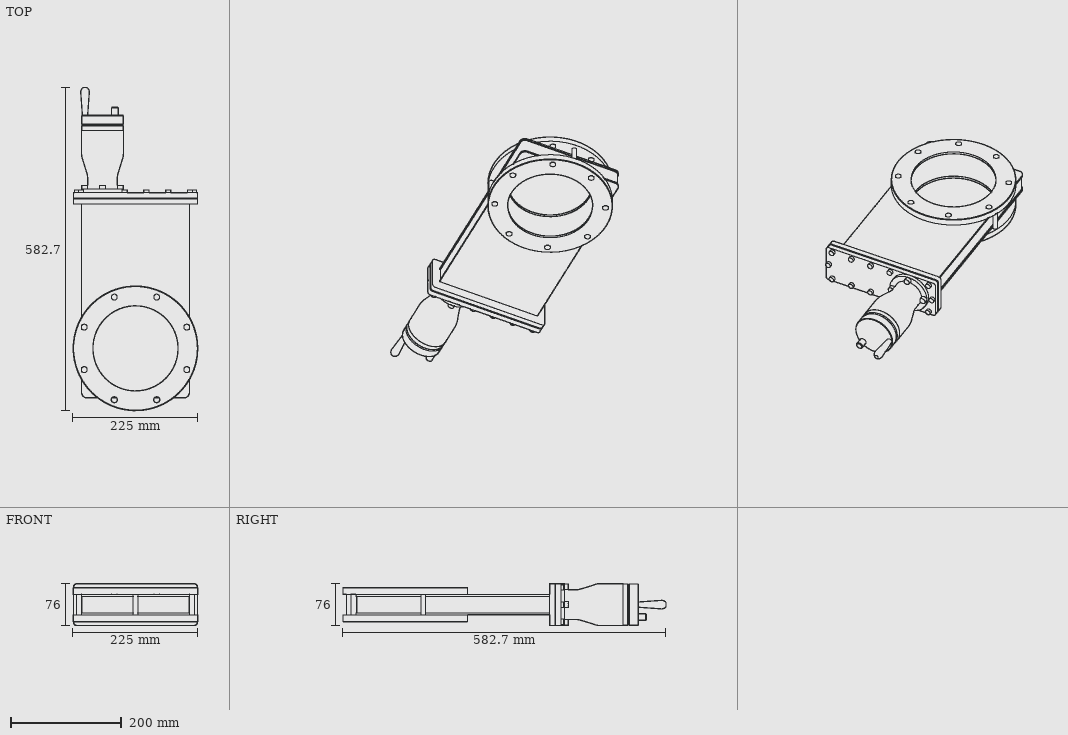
import cadquery as cq
import math

port_diameter = 225.0
port_half_height = 31.0
port_chamfer = 1.0
bore_diameter = 154.0
bore_lip_diameter = 153.0
bore_lip_length = 4.6
bolt_circle_diameter = 200.0
bolt_count = 8
bolt_hole_diameter = 10.6

body_width = 195.0
body_half_height = 18.3
body_front_y = -89.3
body_corner_radius = 10.0
sheet_thickness = 3.5
frame_recess = 1.5

rod_diameter = 8.5
rod_places = [(0.0, -102.0), (-102.0, 32.5), (102.0, 32.5)]

bonnet_width = 223.6
bonnet_height = 75.95
bonnet_corner_radius = 6.0
bonnet_start_y = 260.0
bonnet_plate_thickness = 9.5
gasket_thickness = 1.5
gasket_inset = 1.0
bonnet_end_y = bonnet_start_y + 2 * bonnet_plate_thickness + gasket_thickness

bonnet_screw_diameter = 9.6
bonnet_screw_height = 5.0
screw_row_pitch = 39.3
screw_row_count = 6
screw_row_z = 31.0
side_screw_x = 105.3

actuator_x = -59.5
actuator_diameter = 75.8
cap_diameter = 75.2
cap_start_y = 392.4
neck_diameter = 54.0
foot_thickness = 6.5
cone_start_y = 311.5
cone_end_y = 346.5
cone_blend_radius = 23.0
actuator_end_y = 420.2
cap_chamfer = 1.0
groove_y = 402.5
groove_width = 3.6
groove_depth = 1.8

foot_screw_count = 4
foot_screw_circle_radius = 32.0
foot_screw_diameter = 11.0
foot_screw_height = 7.0

crank_radius = 31.5
handle_tip_y = 470.2
handle_shoulder_y = 462.2
handle_base_radius = 5.0
handle_shoulder_radius = 8.0
handle_dome_radius = 6.6
handle_dome_y = 467.0
handle_tip_radius = 3.5
knob_angle = -45.0
knob_diameter = 12.5
knob_height = 14.6
knob_chamfer = 1.5


def cylinder_y(diameter, start_y, end_y, x, z):
    """Solid cylinder along +Y."""
    return cq.Workplane(
        cq.Solid.makeCylinder(
            diameter / 2, end_y - start_y, cq.Vector(x, start_y, z), cq.Vector(0, 1, 0)
        )
    )


def plate_y(width, height, corner_radius, start_y, thickness):
    """Rounded plate standing across the Y axis."""
    return (
        cq.Workplane("XY")
        .box(width, thickness, height, centered=(True, False, True))
        .edges("|Y")
        .fillet(corner_radius)
        .translate((0, start_y, 0))
    )


def flat_slab(inset, bottom_z, thickness):
    """Horizontal body layer with rounded front corners, inset from the body outline."""
    front_y = body_front_y + inset
    return (
        cq.Workplane("XY")
        .box(
            body_width - 2 * inset,
            bonnet_start_y - front_y,
            thickness,
            centered=(True, False, False),
        )
        .translate((0, front_y, bottom_z))
        .edges("|Z and <Y")
        .fillet(body_corner_radius - inset)
    )


def body():
    """Frame sandwiched between the two cover sheets."""
    frame_half_height = body_half_height - sheet_thickness
    frame = flat_slab(frame_recess, -frame_half_height, 2 * frame_half_height)
    upper_sheet = flat_slab(0, frame_half_height, sheet_thickness)
    lower_sheet = flat_slab(0, -body_half_height, sheet_thickness)
    return frame.union(upper_sheet).union(lower_sheet)


def port_flange():
    """Upper port flange with its bolt holes."""
    thickness = port_half_height - body_half_height
    half_pitch_angle = 180 / bolt_count
    base = cq.Workplane("XY", origin=(0, 0, body_half_height))
    ring = base.circle(port_diameter / 2).extrude(thickness)
    ring = ring.faces(">Z").edges().chamfer(port_chamfer)
    holes = (
        base.polarArray(bolt_circle_diameter / 2, half_pitch_angle, 360, bolt_count)
        .circle(bolt_hole_diameter / 2)
        .extrude(thickness)
    )
    return ring.cut(holes)


def spacer_rods():
    return (
        cq.Workplane("XY", origin=(0, 0, -body_half_height))
        .pushPoints(rod_places)
        .circle(rod_diameter / 2)
        .extrude(2 * body_half_height)
    )


def bonnet():
    gasket_y = bonnet_start_y + bonnet_plate_thickness
    upper_y = gasket_y + gasket_thickness
    lower = plate_y(
        bonnet_width, bonnet_height, bonnet_corner_radius, bonnet_start_y, bonnet_plate_thickness
    )
    gasket = plate_y(
        bonnet_width - 2 * gasket_inset,
        bonnet_height - 2 * gasket_inset,
        bonnet_corner_radius - gasket_inset,
        gasket_y,
        gasket_thickness,
    )
    upper = plate_y(
        bonnet_width, bonnet_height, bonnet_corner_radius, upper_y, bonnet_plate_thickness
    )
    return lower.union(gasket).union(upper)


def bonnet_screws():
    first_x = -screw_row_pitch * (screw_row_count - 1) / 2
    places = [(side * side_screw_x, 0) for side in (-1, 1)]
    for index in range(screw_row_count):
        x = first_x + index * screw_row_pitch
        places += [(x, -screw_row_z), (x, screw_row_z)]
    heads = cq.Workplane("XY")
    for x, z in places:
        head = cylinder_y(
            bonnet_screw_diameter, bonnet_end_y, bonnet_end_y + bonnet_screw_height, x, z
        )
        heads = heads.union(head)
    return heads


def actuator_body():
    """Foot, neck, cone, drum and V-grooved end cap as one turned shape."""
    foot_end_y = bonnet_end_y + foot_thickness
    drum_radius = actuator_diameter / 2
    cap_radius = cap_diameter / 2
    neck_radius = neck_diameter / 2
    cone_edge_margin = 1.0
    turned = (
        cq.Workplane("XY")
        .moveTo(0, bonnet_end_y)
        .lineTo(drum_radius, bonnet_end_y)
        .lineTo(drum_radius, foot_end_y)
        .lineTo(neck_radius, foot_end_y)
        .lineTo(neck_radius, cone_start_y)
        .lineTo(drum_radius, cone_end_y)
        .lineTo(drum_radius, cap_start_y)
        .lineTo(cap_radius, cap_start_y)
        .lineTo(cap_radius, groove_y - groove_width / 2)
        .lineTo(cap_radius - groove_depth, groove_y)
        .lineTo(cap_radius, groove_y + groove_width / 2)
        .lineTo(cap_radius, actuator_end_y)
        .lineTo(0, actuator_end_y)
        .close()
        .revolve(360, (0, 0, 0), (0, 1, 0))
    )
    cone_ends = cq.selectors.BoxSelector(
        (-actuator_diameter, cone_start_y - cone_edge_margin, -actuator_diameter),
        (actuator_diameter, cone_end_y + cone_edge_margin, actuator_diameter),
    )
    turned = turned.edges("%CIRCLE").edges(cone_ends).fillet(cone_blend_radius)
    turned = turned.faces(">Y").edges().chamfer(cap_chamfer)
    return turned.translate((actuator_x, 0, 0))


def foot_screws():
    start_y = bonnet_end_y + foot_thickness
    heads = cq.Workplane("XY")
    for index in range(foot_screw_count):
        angle = 2 * math.pi * index / foot_screw_count
        head = cylinder_y(
            foot_screw_diameter,
            start_y,
            start_y + foot_screw_height,
            actuator_x + foot_screw_circle_radius * math.cos(angle),
            foot_screw_circle_radius * math.sin(angle),
        )
        heads = heads.union(head)
    return heads


def crank_handle():
    """Flared grip with a domed tip."""
    return (
        cq.Workplane("XY")
        .moveTo(0, actuator_end_y)
        .lineTo(handle_base_radius, actuator_end_y)
        .lineTo(handle_shoulder_radius, handle_shoulder_y)
        .threePointArc((handle_dome_radius, handle_dome_y), (handle_tip_radius, handle_tip_y))
        .lineTo(0, handle_tip_y)
        .close()
        .revolve(360, (0, 0, 0), (0, 1, 0))
        .translate((actuator_x - crank_radius, 0, 0))
    )


def knob():
    angle = math.radians(knob_angle)
    x = actuator_x + crank_radius * math.cos(angle)
    z = crank_radius * math.sin(angle)
    post = cylinder_y(knob_diameter, actuator_end_y, actuator_end_y + knob_height, x, z)
    return post.faces(">Y").edges().chamfer(knob_chamfer)


def bore():
    """Through bore, slightly wider between the lips at its two ends."""
    lip_bore = (
        cq.Workplane("XY", origin=(0, 0, -port_half_height))
        .circle(bore_lip_diameter / 2)
        .extrude(2 * port_half_height)
    )
    wide_half_height = port_half_height - bore_lip_length
    wide_bore = (
        cq.Workplane("XY", origin=(0, 0, -wide_half_height))
        .circle(bore_diameter / 2)
        .extrude(2 * wide_half_height)
    )
    return lip_bore.union(wide_bore)


upper_flange = port_flange()
valve = body().union(upper_flange).union(upper_flange.mirror("XY")).union(spacer_rods())
valve = valve.cut(bore())

drive = bonnet().union(bonnet_screws()).union(actuator_body()).union(foot_screws())
drive = drive.union(crank_handle()).union(knob())

result = valve.union(drive)